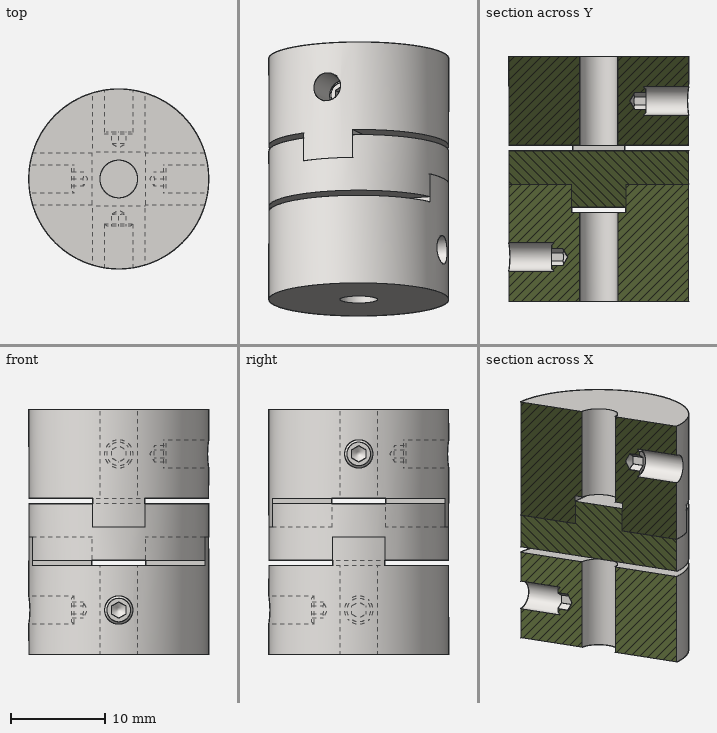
import cadquery as cq
import math

outer_diameter = 19.1
total_height = 26.0
disc_thickness = 6.0
gap = 0.55
hub_length = (total_height - disc_thickness) / 2 - gap
bore_diameter = 4.0

lug_width = 5.55
lug_spacing = 5.7
lug_height = 3.0
slot_depth = lug_height - gap

screw_diameter = 3.0
screw_length = 3.0
screw_chamfer = 0.25
screw_height = hub_length / 2
socket_width = 1.5
socket_depth = 1.2
socket_cone_angle = 120.0

outer_radius = outer_diameter / 2
screw_radius = screw_diameter / 2
screw_recess = outer_radius - bore_diameter / 2 - screw_length
socket_radius = socket_width / math.sqrt(3)


def full_cylinder(base_height, height):
    """Plain cylinder of the full outer diameter."""
    return cq.Workplane("XY").workplane(offset=base_height).circle(outer_radius).extrude(height)


def lug_pair(base_height, height):
    """Two opposite lugs on the X axis, with outer ends on the outer cylinder."""
    plane = cq.Workplane("XY").workplane(offset=base_height)
    bar = plane.rect(outer_diameter, lug_width).extrude(height)
    opening = plane.rect(lug_spacing, lug_width).extrude(height)
    return full_cylinder(base_height, height).intersect(bar).cut(opening)


def revolved_about_screw(start_x, outline):
    """Turn an outline of (depth, radius) points about the axis of the -X screw."""
    profile = cq.Workplane("XY", origin=(start_x, 0, screw_height)).polyline(outline).close()
    return profile.revolve(360, (0, 0, 0), (1, 0, 0))


def screw_hole():
    """Open hole outside the -X screw, ending at the screw's chamfered end face."""
    outline = [
        (0, 0),
        (0, screw_radius),
        (screw_recess + screw_chamfer, screw_radius),
        (screw_recess, screw_radius - screw_chamfer),
        (screw_recess, 0),
    ]
    return revolved_about_screw(-outer_radius, outline)


def screw_socket():
    """Hexagon socket of the -X screw, two corners on a vertical line, with a conical bottom."""
    end_face_x = screw_recess - outer_radius
    cone_slope = math.tan(math.radians(socket_cone_angle / 2))
    tip_depth = socket_depth + socket_radius / cone_slope
    hexagon = (
        cq.Workplane("YZ", origin=(end_face_x, 0, screw_height))
        .transformed(rotate=(0, 0, 90))
        .polygon(6, 2 * socket_radius)
        .extrude(tip_depth)
    )
    drill_radius = socket_width
    drill_outline = [
        (0, 0),
        (0, drill_radius),
        (tip_depth - drill_radius / cone_slope, drill_radius),
        (tip_depth, 0),
    ]
    return hexagon.intersect(revolved_about_screw(end_face_x, drill_outline))


def make_hub():
    """Lower hub: lugs on the X axis, set screws on the -X and -Y sides."""
    hub = full_cylinder(0, hub_length).union(lug_pair(hub_length, lug_height))
    hub = hub.cut(cq.Workplane("XY").circle(bore_diameter / 2).extrude(hub_length))
    for turn in (0, 90):
        for recess in (screw_hole(), screw_socket()):
            hub = hub.cut(recess.rotate((0, 0, 0), (0, 0, 1), turn))
    return hub


def make_disc():
    """Centre disc, slotted along X below and along Y above for the lugs of the two hubs."""
    bottom = hub_length + gap
    top = bottom + disc_thickness
    lower_slots = lug_pair(bottom, slot_depth)
    upper_slots = lug_pair(top - slot_depth, slot_depth).rotate((0, 0, 0), (0, 0, 1), 90)
    return full_cylinder(bottom, disc_thickness).cut(lower_slots).cut(upper_slots)


lower_hub = make_hub()
disc = make_disc()

middle = total_height / 2
upper_hub = make_hub().rotate((0, 0, middle), (1, -1, middle), 180)

bodies = [lower_hub, disc, upper_hub]
result = cq.Compound.makeCompound([body.solids().val() for body in bodies])